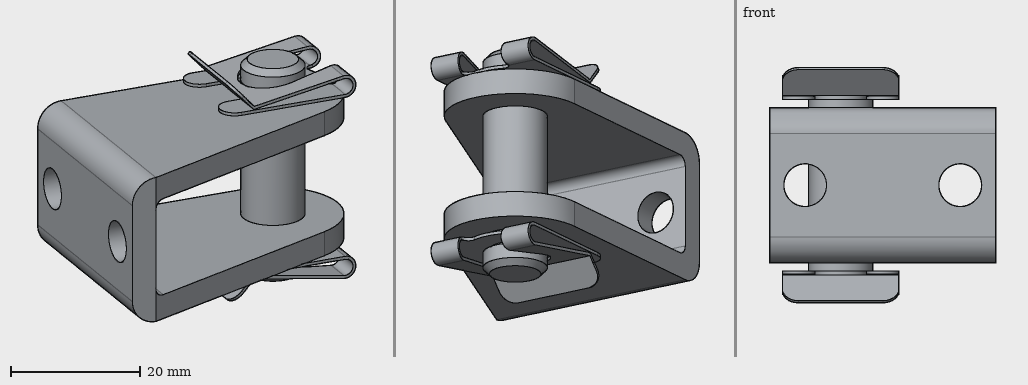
import cadquery as cq
import math


bracket_width = 35.0
bracket_depth = 46.0
bracket_height = 24.0
wall = 4.0
outer_bend_radius = wall
inner_bend_radius = 1.5
lug_radius = 11.0
mount_hole_diameter = 6.6
mount_hole_edge_distance = 5.5

pin_diameter = 10.0
pin_length = 35.45
pin_chamfer = 1.0
groove_diameter = 8.0
groove_width = 1.1

clip_width = 18.05
clip_thickness = 0.5
clip_gap = 1.25
clip_bend_radius = 1.85
clip_back = 10.0
clip_front = 12.0
kink_y = -7.35
kink_rise = 0.87
tab_tip_y = -10.95
tab_tip_rise = 4.8
tab_corner_radius = 2.5
window_diameter = 11.0
window_taper = 9.0
window_arc_radius = 7.85
window_corner_radius = 1.15

bracket_left = -lug_radius
bracket_right = bracket_left + bracket_width
bracket_front = lug_radius - bracket_depth
clip_bottom = bracket_height / 2 + clip_gap
cut_height = 2 * pin_length


def make_bracket():
    """U-shaped bracket with tapered lugs, a pin bore and two mounting holes."""
    taper_start_y = bracket_front + outer_bend_radius
    corner_distance = math.hypot(bracket_right, taper_start_y)
    tangent_angle = math.atan2(taper_start_y, bracket_right) + math.acos(lug_radius / corner_distance)
    tangent_x = lug_radius * math.cos(tangent_angle)
    tangent_y = lug_radius * math.sin(tangent_angle)
    body = (
        cq.Workplane("XY")
        .workplane(offset=-bracket_height / 2)
        .moveTo(bracket_left, bracket_front)
        .lineTo(bracket_right, bracket_front)
        .lineTo(bracket_right, taper_start_y)
        .lineTo(tangent_x, tangent_y)
        .threePointArc((0, lug_radius), (bracket_left, 0))
        .close()
        .extrude(bracket_height)
    )
    body = body.faces("<Y").edges("|X").fillet(outer_bend_radius)

    channel = (
        cq.Workplane("XY")
        .box(bracket_width, bracket_depth, bracket_height - 2 * wall, centered=(False, False, True))
        .edges("|X and <Y")
        .fillet(inner_bend_radius)
        .translate((bracket_left, bracket_front + wall, 0))
    )
    pin_bore = cq.Workplane("XY").circle(pin_diameter / 2).extrude(cut_height / 2, both=True)
    hole_places = [
        (bracket_left + mount_hole_edge_distance, 0),
        (bracket_right - mount_hole_edge_distance, 0),
    ]
    mount_holes = (
        cq.Workplane("XZ", origin=(0, bracket_front, 0))
        .pushPoints(hole_places)
        .circle(mount_hole_diameter / 2)
        .extrude(-wall)
    )
    return body.cut(channel).cut(pin_bore).cut(mount_holes)


def make_pin():
    """Chamfered pin with one clip groove near each end."""
    pin = cq.Workplane("XY").circle(pin_diameter / 2).extrude(pin_length / 2, both=True)
    pin = pin.faces("<Z or >Z").chamfer(pin_chamfer)
    groove = (
        cq.Workplane("XY")
        .workplane(offset=clip_bottom)
        .circle(pin_diameter / 2)
        .circle(groove_diameter / 2)
        .extrude(groove_width)
    )
    return pin.cut(groove).cut(groove.mirror("XY"))


def window_prism():
    """Keyhole prism: round about the pin, narrowing towards the rolled edge."""
    radius = window_diameter / 2
    slope = math.radians(window_taper)
    tangent_x = radius * math.cos(slope)
    tangent_y = radius * math.sin(slope)
    back_y = clip_back + clip_thickness
    back_x = tangent_x - (back_y - tangent_y) * math.tan(slope)
    return (
        cq.Workplane("XY")
        .moveTo(-back_x, back_y)
        .lineTo(-tangent_x, tangent_y)
        .threePointArc((0, -radius), (tangent_x, tangent_y))
        .lineTo(back_x, back_y)
        .close()
        .extrude(cut_height)
    )


def clip_sheet():
    """Folded strip: flat lower leaf, rolled bend, sloping upper leaf and turned-up tab."""
    bend_y = clip_back - clip_bend_radius
    bend_z = clip_bottom + clip_bend_radius
    inner_radius = clip_bend_radius - clip_thickness
    middle_radius = clip_bend_radius - clip_thickness / 2
    kink_z = clip_bottom + kink_rise
    tip_z = clip_bottom + tab_tip_rise

    run = bend_y - kink_y
    drop = bend_z - kink_z
    leaf_slope = math.atan2(drop, run) + math.asin(middle_radius / math.hypot(run, drop))
    tab_slope = math.atan2(tip_z - kink_z, kink_y - tab_tip_y)
    half = clip_thickness / 2

    def on_bend(radius, angle):
        return (bend_y + radius * math.cos(angle), bend_z + radius * math.sin(angle))

    mitre_angle = (math.pi + leaf_slope - tab_slope) / 2
    mitre = half / math.sin(mitre_angle)
    mitre_direction = leaf_slope + mitre_angle
    mitre_y = mitre * math.cos(mitre_direction)
    mitre_z = mitre * math.sin(mitre_direction)
    tip_y_offset = half * math.sin(tab_slope)
    tip_z_offset = half * math.cos(tab_slope)

    leaf_end_angle = math.pi / 2 + leaf_slope
    bend_middle_angle = (leaf_end_angle - math.pi / 2) / 2
    outer_bend_middle = on_bend(clip_bend_radius, bend_middle_angle)
    outer_bend_end = on_bend(clip_bend_radius, leaf_end_angle)
    sheet = (
        cq.Workplane("YZ", origin=(-clip_width / 2, 0, 0))
        .moveTo(-clip_front, clip_bottom)
        .lineTo(bend_y, clip_bottom)
        .threePointArc(outer_bend_middle, outer_bend_end)
        .lineTo(kink_y + mitre_y, kink_z + mitre_z)
        .lineTo(tab_tip_y + tip_y_offset, tip_z + tip_z_offset)
        .lineTo(tab_tip_y - tip_y_offset, tip_z - tip_z_offset)
        .lineTo(kink_y - mitre_y, kink_z - mitre_z)
        .lineTo(*on_bend(inner_radius, leaf_end_angle))
        .threePointArc(on_bend(inner_radius, bend_middle_angle), (bend_y, clip_bottom + clip_thickness))
        .lineTo(-clip_front, clip_bottom + clip_thickness)
        .close()
        .extrude(clip_width)
    )

    tab_corners = cq.selectors.BoxSelector(
        (-clip_width, tab_tip_y - clip_thickness, tip_z - clip_thickness),
        (clip_width, tab_tip_y + clip_thickness, tip_z + clip_thickness),
    )
    return sheet.edges(tab_corners).edges("not |X").fillet(tab_corner_radius)


def cut_legs(sheet):
    """Split the lower leaf into two round-ended legs that straddle the pin groove."""
    slot = (
        cq.Workplane("XY")
        .workplane(offset=clip_bottom)
        .moveTo(-groove_diameter / 2, -clip_front)
        .lineTo(-groove_diameter / 2, 0)
        .threePointArc((0, groove_diameter / 2), (groove_diameter / 2, 0))
        .lineTo(groove_diameter / 2, -clip_front)
        .close()
        .extrude(clip_thickness)
    )
    leg_width = (clip_width - groove_diameter) / 2
    leg_round_y = leg_width / 2 - clip_front
    leg_x = (groove_diameter + leg_width) / 2
    leg_points = [(-leg_x, leg_round_y), (leg_x, leg_round_y)]
    leg_ends = (
        cq.Workplane("XY")
        .workplane(offset=clip_bottom)
        .center(0, leg_round_y - leg_width / 4)
        .rect(clip_width, leg_width / 2)
        .extrude(clip_thickness)
    )
    rounds = (
        cq.Workplane("XY")
        .workplane(offset=clip_bottom)
        .pushPoints(leg_points)
        .circle(leg_width / 2)
        .extrude(clip_thickness)
    )
    return sheet.cut(slot).cut(leg_ends.cut(rounds))


def cut_window(sheet):
    """Open the upper leaf and bend; in the lower leaf the window ends on an arc about the pin."""
    window = window_prism()
    upper_window = window.intersect(
        cq.Workplane("XY")
        .workplane(offset=clip_bottom + clip_thickness)
        .rect(cut_height, cut_height)
        .extrude(cut_height)
    )
    lower_window = (
        window.cut(cq.Workplane("XY").circle(window_arc_radius).extrude(cut_height))
        .edges("|Z and <Y")
        .fillet(window_corner_radius)
    )
    return sheet.cut(upper_window).cut(lower_window)


def make_clip():
    """Spring clip on the upper end of the pin."""
    return cut_window(cut_legs(clip_sheet()))


bracket = make_bracket()
pin = make_pin()
upper_clip = make_clip()
clips = [upper_clip, upper_clip.mirror("XY")]
result = cq.Compound.makeCompound([bracket.val(), pin.val(), *[clip.val() for clip in clips]])